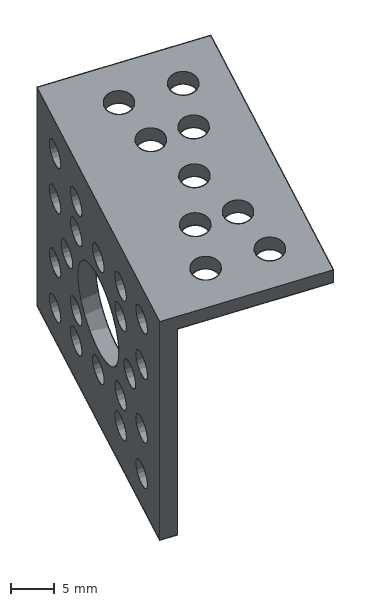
import cadquery as cq
import math

side = 38.1
depth = 21.35
thickness = 2.2

bore_diameter = 12.7
hole_diameter = 3.6
ring_radius = 9.75
ring_count = 8
ring_offset = ring_radius * math.sqrt(0.5)

outer_column = 13.45
inner_column = ring_offset
outer_row = 13.45
outer_row_spacing = 7.9
inner_row = 12.15

flange_row_middle = side / 2 - (outer_row - outer_row_spacing / 2)
inner_row_spacing = inner_row - ring_offset


def mirrored_pairs(column, rows):
    """Points at both +column and -column for every row."""
    return [(sign * column, row) for sign in (-1, 1) for row in rows]


def make_bracket():
    """L-shaped profile in the YZ plane, extruded symmetrically along X."""
    profile = [
        (0, 0),
        (thickness, 0),
        (thickness, side - thickness),
        (depth, side - thickness),
        (depth, side),
        (0, side),
    ]
    return cq.Workplane("YZ").polyline(profile).close().extrude(side / 2, both=True)


def make_face_cutter():
    """Bore, ring of holes and corner holes through the upright plate."""
    inner_edge_row = outer_row - outer_row_spacing
    outer_points = mirrored_pairs(
        outer_column, (-outer_row, -inner_edge_row, inner_edge_row, outer_row)
    )
    inner_points = mirrored_pairs(inner_column, (-inner_row, inner_row))
    plane = cq.Workplane("XZ", origin=(0, 0, side / 2))
    bore = plane.circle(bore_diameter / 2).extrude(-thickness)
    ring = (
        plane.polarArray(ring_radius, 0, 360, ring_count)
        .circle(hole_diameter / 2)
        .extrude(-thickness)
    )
    corners = (
        plane.pushPoints(outer_points + inner_points)
        .circle(hole_diameter / 2)
        .extrude(-thickness)
    )
    return bore.union(ring).union(corners)


def make_flange_cutter():
    """Two groups of four holes and one central hole through the top flange."""
    points = [(0, 0)]
    points += mirrored_pairs(outer_column, (-outer_row_spacing / 2, outer_row_spacing / 2))
    points += mirrored_pairs(inner_column, (-inner_row_spacing / 2, inner_row_spacing / 2))
    origin = (0, depth - flange_row_middle, side - thickness)
    plane = cq.Workplane("XY", origin=origin)
    return plane.pushPoints(points).circle(hole_diameter / 2).extrude(thickness)


result = make_bracket().cut(make_face_cutter()).cut(make_flange_cutter())